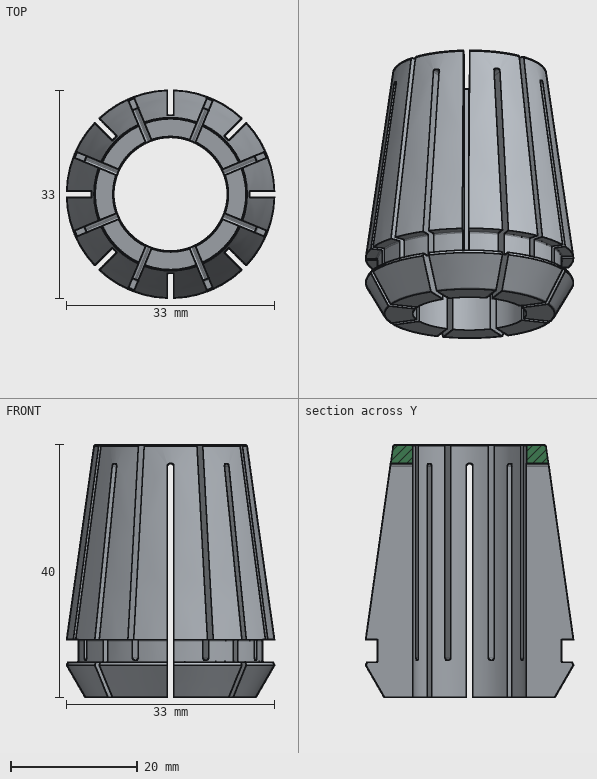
import cadquery as cq
import math

height = 40.0
max_radius = 16.5
bore_radius = 9.0

cone_base_z = 9.15
cone_half_angle = 8.0
top_chamfer = 0.2
bore_chamfer = 0.15

groove_radius = 14.6
groove_base_z = 5.6
groove_fillet = 0.15
flange_chamfer = 0.5
flange_chamfer_inset = 0.25
flange_half_angle = 30.0
bottom_chamfer = 0.15

slots_per_set = 8
slot_width = 1.0
slot_corner_radius = 0.4
lower_slot_end_z = 37.05
upper_slot_end_z = 5.9

slot_pitch = 360.0 / slots_per_set
cone_top_radius = max_radius - (height - cone_base_z) * math.tan(math.radians(cone_half_angle))
flange_rim_z = groove_base_z - flange_chamfer
flange_taper_height = flange_rim_z - bottom_chamfer
flange_base_radius = max_radius - flange_taper_height * math.tan(math.radians(flange_half_angle))


def make_body():
    """Revolve the wall section between the bore and the outer contour, then round the groove corners."""
    section = [
        (bore_radius, 0),
        (flange_base_radius - bottom_chamfer, 0),
        (flange_base_radius, bottom_chamfer),
        (max_radius, flange_rim_z),
        (max_radius - flange_chamfer_inset, groove_base_z),
        (groove_radius, groove_base_z),
        (groove_radius, cone_base_z),
        (max_radius, cone_base_z),
        (cone_top_radius, height - top_chamfer),
        (cone_top_radius - top_chamfer, height),
        (bore_radius + bore_chamfer, height),
        (bore_radius, height - bore_chamfer),
    ]
    body = cq.Workplane("XZ").polyline(section).close().revolve(360, (0, 0), (0, 1))
    circles = body.edges("%CIRCLE")
    groove_corners = circles.filter(lambda circle: math.isclose(circle.radius(), groove_radius))
    return groove_corners.fillet(groove_fillet)


def make_slot_cutter(closed_end_z, open_end_z, angle):
    """Flat blade running outward from the axis, with rounded corners at its closed end."""
    blade = (
        cq.Workplane("XY")
        .box(max_radius, slot_width, abs(open_end_z - closed_end_z), centered=(False, True, True))
        .translate((0, 0, (open_end_z + closed_end_z) / 2))
    )
    closed_end_face = ">Z" if closed_end_z > open_end_z else "<Z"
    blade = blade.faces(closed_end_face).edges("|X").fillet(slot_corner_radius)
    return blade.rotate((0, 0, 0), (0, 0, 1), angle)


result = make_body()
for index in range(slots_per_set):
    lower_angle = index * slot_pitch
    upper_angle = lower_angle + slot_pitch / 2
    result = result.cut(make_slot_cutter(lower_slot_end_z, 0, lower_angle))
    result = result.cut(make_slot_cutter(upper_slot_end_z, height, upper_angle))